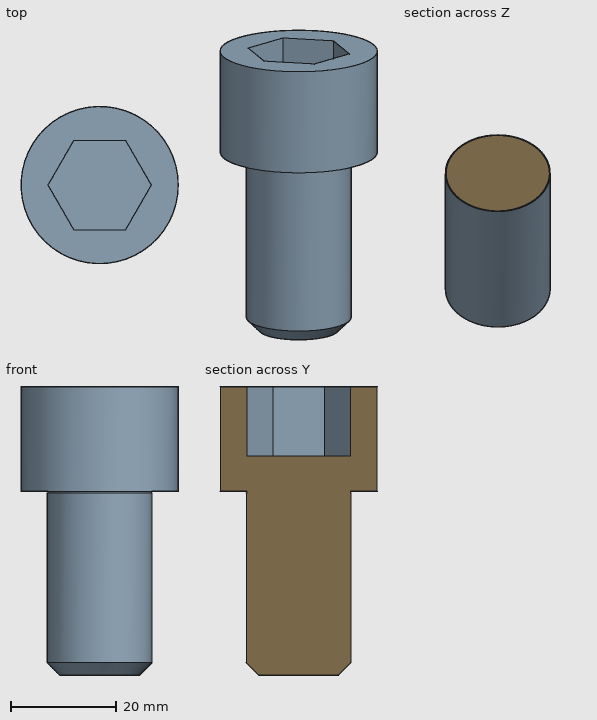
import cadquery as cq

total_length = 55.0
head_diameter = 30.0
shank_diameter = 20.0
head_height = 19.95
shank_length = total_length - head_height
tip_chamfer = 2.4
neck_diameter = 19.75
neck_length = 0.35
socket_across_flats = 17.05
socket_depth = 13.2
socket_turn = 30.0


def make_shank():
    """Round shank with a chamfered tip."""
    shank = cq.Workplane("XY").circle(shank_diameter / 2).extrude(shank_length - neck_length)
    return shank.faces("<Z").chamfer(tip_chamfer)


def make_neck():
    """Short, slightly narrower neck between the shank and the head."""
    neck_base = cq.Workplane("XY").workplane(offset=shank_length - neck_length)
    return neck_base.circle(neck_diameter / 2).extrude(neck_length)


def make_head():
    """Plain cylindrical head above the shank."""
    head_base = cq.Workplane("XY").workplane(offset=shank_length)
    return head_base.circle(head_diameter / 2).extrude(head_height)


def make_socket():
    """Hexagonal key socket with two corners on the X axis."""
    return (
        cq.Workplane("XY")
        .workplane(offset=total_length)
        .polygon(6, socket_across_flats, circumscribed=True)
        .extrude(-socket_depth)
        .rotate((0, 0, 0), (0, 0, 1), socket_turn)
    )


screw = make_shank().union(make_neck()).union(make_head())
result = screw.cut(make_socket())